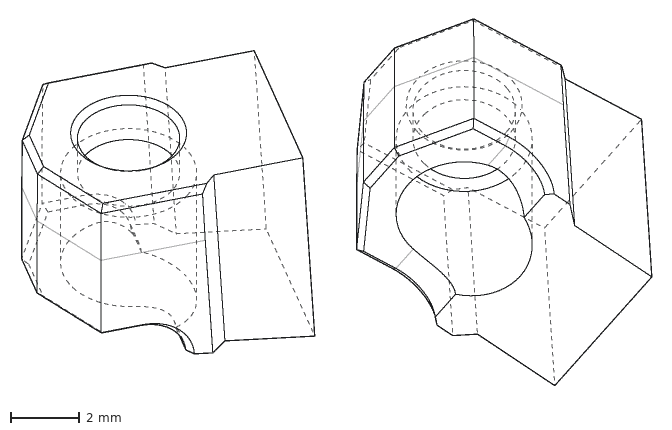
import cadquery as cq
import math

length = 8.0
width = 6.08
height = 7.0
nose_y = -3.04
tail_y = nose_y + length
half_width = width / 2

nose_flat_half = 0.8
nose_angle = math.radians(30)
nose_corner_y = nose_y + (half_width - nose_flat_half) * math.tan(nose_angle)
edge_chamfer = 0.2

lean_slope = math.tan(math.radians(3))
tail_half_width = 2.52
shoulder_depth = half_width - tail_half_width
shoulder_y = 1.34

nose_height = 5.0
relief_radius = 1.4
relief_center_y = -0.48
relief_center_z = -nose_height - relief_radius
underside_slope = math.tan(math.radians(10))

draft_start_z = -2.0
draft_angle = math.radians(0.5)

hole_radius = 1.5
counterbore_radius = 2.0
counterbore_start_z = -1.54


def underside_z(y):
    return -height + (tail_y - y) * underside_slope


def relief_point(angle):
    y = relief_center_y + relief_radius * math.cos(angle)
    z = relief_center_z + relief_radius * math.sin(angle)
    return y, z


def relief_end_angle():
    """Angle, seen from the relief center, where the arc meets the sloped underside."""
    drop = relief_center_z - underside_z(relief_center_y)
    slope_angle = math.atan(underside_slope)
    return -slope_angle - math.asin(drop * math.cos(slope_angle) / relief_radius)


def make_block():
    """Side profile drawn in YZ, trimmed to the pointed nose in XY."""
    end_angle = relief_end_angle()
    middle_angle = (end_angle + math.pi / 2) / 2
    block = (
        cq.Workplane("YZ")
        .moveTo(nose_y, 0)
        .lineTo(tail_y - height * lean_slope, 0)
        .lineTo(tail_y, -height)
        .lineTo(*relief_point(end_angle))
        .threePointArc(relief_point(middle_angle), relief_point(math.pi / 2))
        .lineTo(nose_y, -nose_height)
        .close()
        .extrude(half_width, both=True)
    )
    outline = (
        cq.Workplane("XY")
        .polyline([
            (-half_width, tail_y),
            (-half_width, nose_corner_y),
            (-nose_flat_half, nose_y),
            (nose_flat_half, nose_y),
            (half_width, nose_corner_y),
            (half_width, tail_y),
        ])
        .close()
        .extrude(-height)
    )
    return block.intersect(outline)


def draft_wedge(face_point, outward_angle):
    """Sliver that tilts one upright face inward above the draft line."""
    outward = cq.Vector(math.cos(outward_angle), math.sin(outward_angle), 0)
    sideways = outward.cross(cq.Vector(0, 0, 1))
    inset = -draft_start_z * math.tan(draft_angle)
    plane = cq.Plane(origin=(*face_point, 0), xDir=outward, normal=sideways)
    return (
        cq.Workplane(plane)
        .polyline([(0, draft_start_z), (-inset, 0), (length, 0), (length, draft_start_z)])
        .close()
        .extrude(length, both=True)
    )


def shoulder_cut(side):
    """Leaning prism that narrows the tail on one side, behind a 45 degree shoulder."""
    outer_x = half_width + shoulder_depth
    profile = [
        (side * outer_x, shoulder_y - shoulder_depth),
        (side * tail_half_width, shoulder_y + shoulder_depth),
        (side * tail_half_width, shoulder_y + length),
        (side * outer_x, shoulder_y + length),
    ]
    lowered = [(x, y + height * lean_slope) for x, y in profile]
    return (
        cq.Workplane("XY")
        .polyline(profile)
        .close()
        .workplane(offset=-height)
        .polyline(lowered)
        .close()
        .loft(ruled=True)
    )


def make_hole():
    bore = cq.Workplane("XY").circle(hole_radius).extrude(-height)
    counterbore = (
        cq.Workplane("XY")
        .workplane(offset=counterbore_start_z)
        .circle(counterbore_radius)
        .extrude(-height)
    )
    countersink = cq.Workplane(
        cq.Solid.makeCone(
            hole_radius, hole_radius + edge_chamfer, edge_chamfer, pnt=cq.Vector(0, 0, -edge_chamfer)
        )
    )
    return bore.union(counterbore).union(countersink)


body = make_block()

right_normal = 0.0
front_normal = -math.pi / 2
body = body.cut(draft_wedge((half_width, 0), right_normal))
body = body.cut(draft_wedge((0, nose_y), front_normal))
for side in (-1, 1):
    corner = (side * nose_flat_half, nose_y)
    body = body.cut(draft_wedge(corner, front_normal + side * nose_angle))

body = body.faces(">Z").edges("not >Y").chamfer(edge_chamfer)

margin = 0.01
nose_rim = cq.selectors.BoxSelector(
    (-width, nose_y - margin, -nose_height - margin),
    (width, relief_center_y - margin, -nose_height + margin),
)
body = body.edges(nose_rim).chamfer(edge_chamfer)

for side in (-1, 1):
    body = body.cut(shoulder_cut(side))

result = body.cut(make_hole())